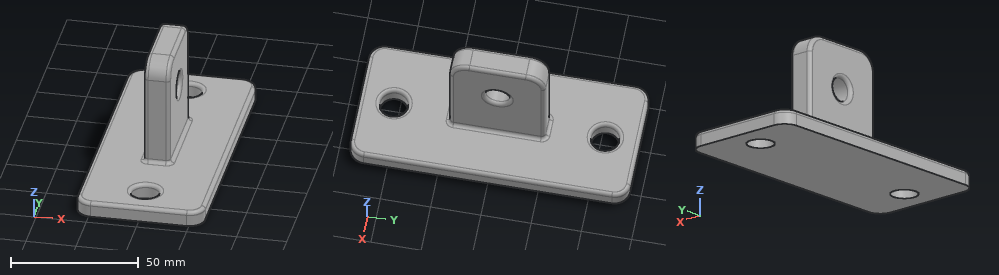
import cadquery as cq

plate_width = 50.8
plate_length = 111.2
plate_thickness = 6.5
plate_corner_radius = 6.2
plate_hole_diameter = 11.1
plate_hole_offset = 42.0

total_height = 50.8
lug_thickness = 10.2
lug_length = 38.0
lug_corner_radius = 7.8
lug_hole_diameter = 9.6
lug_hole_height = 31.8

edge_radius = 1.6
root_radius = 1.6


def make_plate():
    """Flat plate with rounded corners, two mounting holes and a rounded top rim."""
    plate = (
        cq.Workplane("XY")
        .rect(plate_width, plate_length)
        .extrude(plate_thickness)
        .edges("|Z")
        .fillet(plate_corner_radius)
        .faces(">Z")
        .workplane()
        .pushPoints([(0, -plate_hole_offset), (0, plate_hole_offset)])
        .hole(plate_hole_diameter)
    )
    return plate.faces(">Z").edges().fillet(edge_radius)


def make_lug():
    """Upright lug with a cross hole and both side faces rounded at every edge but the foot."""
    lug_height = total_height - plate_thickness
    lug = (
        cq.Workplane("XY", origin=(0, 0, plate_thickness))
        .rect(lug_thickness, lug_length)
        .extrude(lug_height)
        .edges("|X and >Z")
        .fillet(lug_corner_radius)
    )
    cross_hole = (
        cq.Workplane("YZ", origin=(0, 0, lug_hole_height))
        .circle(lug_hole_diameter / 2)
        .extrude(lug_thickness, both=True)
    )
    side_face_edges = "(<X or >X) and (not <Z)"
    return lug.cut(cross_hole).edges(side_face_edges).fillet(edge_radius)


def round_lug_root(body):
    """Concave fillet where the lug meets the top of the plate."""
    margin = edge_radius / 2
    root_zone = cq.selectors.BoxSelector(
        (-lug_thickness / 2 - margin, -lug_length / 2 - margin, plate_thickness - margin),
        (lug_thickness / 2 + margin, lug_length / 2 + margin, plate_thickness + margin),
        boundingbox=True,
    )
    return body.edges(root_zone).fillet(root_radius)


result = round_lug_root(make_plate().union(make_lug()))